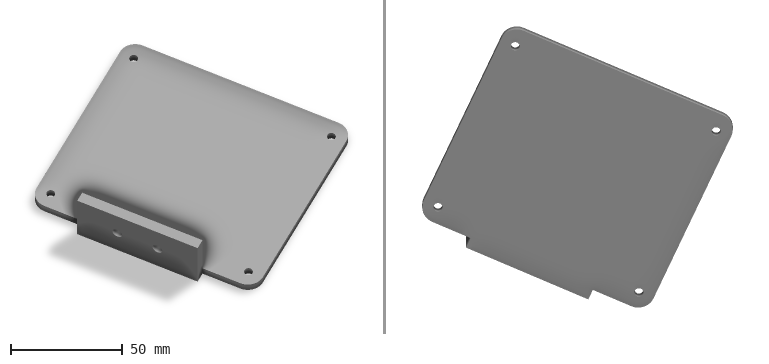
import cadquery as cq

plate_width = 112.8
plate_depth = 99.7
plate_thickness = 4.0
corner_radius = 7.6

plate_hole_diameter = 4.0
plate_hole_spacing_x = 98.6
plate_hole_spacing_y = 84.0
plate_hole_offset_y = -0.5

flange_width = 60.0
flange_thickness = 5.0
flange_height = 25.0
flange_hole_diameter = 4.8
flange_hole_spacing = 20.0


def make_plate():
    """Rounded plate centred on X and Y, with a mounting hole near each corner."""
    plate = (
        cq.Workplane("XY")
        .rect(plate_width, plate_depth)
        .extrude(plate_thickness)
        .edges("|Z")
        .fillet(corner_radius)
    )
    holes = (
        cq.Workplane("XY")
        .center(0, plate_hole_offset_y)
        .rect(plate_hole_spacing_x, plate_hole_spacing_y, forConstruction=True)
        .vertices()
        .circle(plate_hole_diameter / 2)
        .extrude(plate_thickness)
    )
    return plate.cut(holes)


def make_flange():
    """Upright flange with two through holes at mid-height."""
    flange = cq.Workplane("XZ", origin=(0, -plate_depth / 2, flange_height / 2))
    holes = (
        flange.pushPoints([(side * flange_hole_spacing / 2, 0) for side in (-1, 1)])
        .circle(flange_hole_diameter / 2)
        .extrude(flange_thickness)
    )
    return flange.rect(flange_width, flange_height).extrude(flange_thickness).cut(holes)


result = make_plate().union(make_flange())